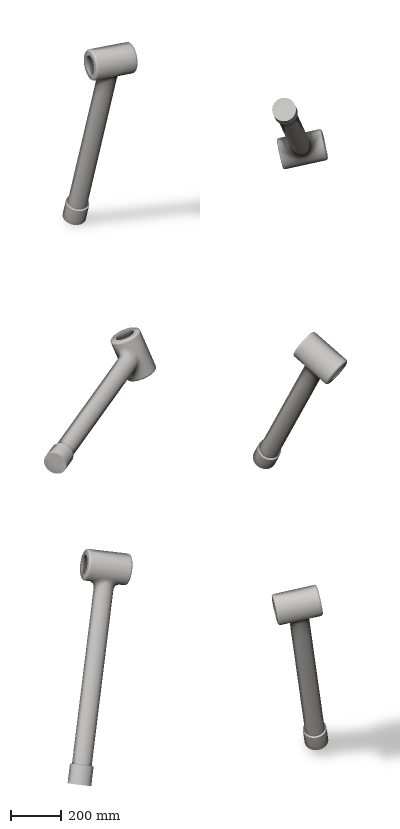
import cadquery as cq
import math

overall_height = 886.0

head_diameter = 127.0
head_length = 182.5
bore_diameter = 79.0
head_edge_radius = 9.0

arm_angle = 22.6
rod_diameter = 79.0
cap_diameter = 95.0
cap_length = 79.0
junction_fillet_radius = 24.0

lean = math.radians(arm_angle)
cap_corner_drop = overall_height - head_diameter / 2
arm_reach = (cap_corner_drop - cap_diameter / 2 * math.sin(lean)) / math.cos(lean)


def make_head():
    """Solid cylinder along Y with rounded end edges."""
    return (
        cq.Workplane("XZ")
        .workplane(offset=-head_length / 2)
        .circle(head_diameter / 2)
        .extrude(head_length)
        .edges("%CIRCLE")
        .fillet(head_edge_radius)
    )


def make_rod():
    """Rod hanging straight down from the head axis."""
    return cq.Workplane("XY").circle(rod_diameter / 2).extrude(-arm_reach)


def make_cap():
    """Wider cylinder around the free end of the rod."""
    return (
        cq.Workplane("XY")
        .workplane(offset=-arm_reach)
        .circle(cap_diameter / 2)
        .extrude(cap_length)
    )


def blend_junction(body):
    """Fillet the saddle-shaped edge where the rod meets the head."""
    saddle_zone = cq.selectors.BoxSelector(
        (-rod_diameter, -rod_diameter, -head_diameter),
        (rod_diameter, rod_diameter, -head_diameter / 4),
        boundingbox=True,
    )
    return body.edges(saddle_zone).fillet(junction_fillet_radius)


def make_bore():
    """Through hole along the head axis."""
    return (
        cq.Workplane("XZ")
        .workplane(offset=-head_length / 2)
        .circle(bore_diameter / 2)
        .extrude(head_length)
    )


upright = blend_junction(make_head().union(make_rod())).union(make_cap()).cut(make_bore())
result = upright.rotate((0, 0, 0), (0, 1, 0), arm_angle)